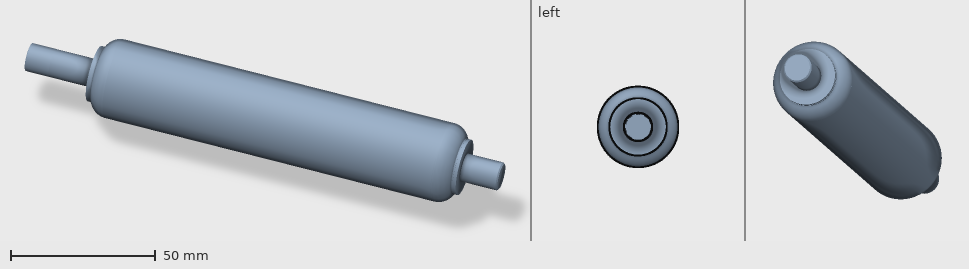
import cadquery as cq
import math

LENGTH = 172.0
ROD_TIP_X = -LENGTH / 2
STUD_TIP_X = LENGTH / 2

BODY_DIA = 28.0
LIP_DIA = 20.0
COLLAR_DIA = 19.8
ROD_DIA = 10.0

ROD_EXPOSED = 23.9
STUD_EXPOSED = 13.5
COLLAR_LENGTH = 1.2
DOME_RADIUS = 6.0
DOME_INSET = 0.2
CAP_SKIRT = 0.5
GUIDE_DEPTH = 6.2
ROD_TIP_LENGTH = 8.8
ROD_CHAMFER = 0.2
STUD_CHAMFER = 0.5

GUIDE_FACE_X = ROD_TIP_X + ROD_EXPOSED
TUBE_LIP_X = GUIDE_FACE_X + COLLAR_LENGTH
CAP_FACE_X = STUD_TIP_X - STUD_EXPOSED
CAP_LIP_X = CAP_FACE_X - COLLAR_LENGTH
CAP_DOME_X = CAP_LIP_X - DOME_INSET - DOME_RADIUS
SEAM_X = CAP_DOME_X - CAP_SKIRT
GUIDE_END_X = TUBE_LIP_X + GUIDE_DEPTH


def cylinder(diameter, start_x, end_x):
    """Solid cylinder on the X axis."""
    return cq.Workplane("YZ", origin=(start_x, 0, 0)).circle(diameter / 2).extrude(end_x - start_x)


def domed_blank(lip_x, open_x):
    """Cylinder from open_x to a rounded, lipped end at lip_x, revolved about X."""
    outward = math.copysign(1, lip_x - open_x)
    dome_end_x = lip_x - outward * DOME_INSET
    dome_start_x = dome_end_x - outward * DOME_RADIUS
    body_radius = BODY_DIA / 2
    lip_radius = LIP_DIA / 2
    center_radius = body_radius - DOME_RADIUS
    lip_angle = math.asin((lip_radius - center_radius) / DOME_RADIUS)
    mid_angle = (lip_angle + math.pi / 2) / 2

    def dome_point(angle):
        x = dome_start_x + outward * DOME_RADIUS * math.cos(angle)
        return x, center_radius + DOME_RADIUS * math.sin(angle)

    return (
        cq.Workplane("XY")
        .moveTo(open_x, 0)
        .lineTo(open_x, body_radius)
        .lineTo(dome_start_x, body_radius)
        .threePointArc(dome_point(mid_angle), dome_point(lip_angle))
        .lineTo(lip_x, lip_radius)
        .lineTo(lip_x, 0)
        .close()
        .revolve(360, (0, 0, 0), (1, 0, 0))
    )


def make_tube():
    """Main body with a seat for the guide and a bore for the rod."""
    guide_seat = cylinder(COLLAR_DIA, TUBE_LIP_X, GUIDE_END_X)
    rod_bore = cylinder(ROD_DIA, GUIDE_END_X, SEAM_X)
    return domed_blank(TUBE_LIP_X, SEAM_X).cut(guide_seat).cut(rod_bore)


def make_guide():
    """Bushing that carries the rod in the tube end."""
    return cylinder(COLLAR_DIA, GUIDE_FACE_X, GUIDE_END_X).cut(
        cylinder(ROD_DIA, GUIDE_FACE_X, GUIDE_END_X)
    )


def make_rod():
    """Round rod whose end section is a separate face of the same diameter."""
    tip_end_x = ROD_TIP_X + ROD_TIP_LENGTH
    tip = cylinder(ROD_DIA, ROD_TIP_X, tip_end_x).faces("<X").chamfer(ROD_CHAMFER)
    shank = cylinder(ROD_DIA, tip_end_x, SEAM_X)
    return tip.union(shank, clean=False)


def make_end_cap():
    """Domed cap with its collar and chamfered mounting stud."""
    collar = cylinder(COLLAR_DIA, CAP_LIP_X, CAP_FACE_X)
    stud = cylinder(ROD_DIA, CAP_FACE_X, STUD_TIP_X).faces(">X").chamfer(STUD_CHAMFER)
    return domed_blank(CAP_LIP_X, SEAM_X).union(collar).union(stud)


tube = make_tube()
guide = make_guide()
rod = make_rod()
end_cap = make_end_cap()

bodies = [tube, guide, rod, end_cap]
result = cq.Compound.makeCompound([body.solids().val() for body in bodies])